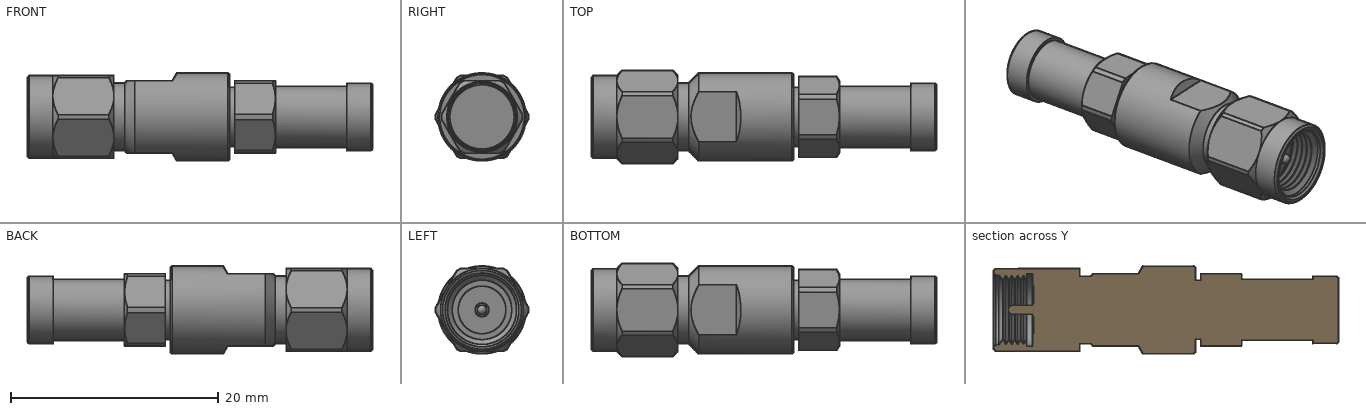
import cadquery as cq
import math

LENGTH = 33.33

COLLAR_RADIUS = 4.0
COLLAR_CHAMFER = 0.2
NUT_HEX_START = 2.45
NUT_HEX_END = 8.35
NUT_ACROSS_FLATS = 8.0
NUT_CORNER_RADIUS = 4.5

MOUTH_RADIUS = 3.55
MOUTH_CHAMFER = 0.23
ENTRY_END = 0.53
LEAD_IN_LENGTH = 0.35
CREST_RADIUS = 2.85
CREST_WIDTH = 0.05
THREAD_PITCH = 0.55
THREAD_GROOVES = 4
FLANK_ANGLE = 30.0
CAVITY_RADIUS = 3.45
BORE_DEPTH = 3.75

INSULATOR_RADIUS = 2.3
INSULATOR_RECESS = 0.1
CONTACT_RADIUS = 0.65
PIN_RADIUS = 0.45
PIN_TIP = 1.4

FRONT_NECK_RADIUS = 6.55 / 2
BODY_START = 9.4
BODY_END = 19.53
BODY_RADIUS = 8.5 / 2
BODY_CHAMFER = 0.15
WRENCH_ACROSS_FLATS = 7.0
WRENCH_FLAT_END = 14.0
WRENCH_RUNOUT_ANGLE = 30.0

REAR_NECK_RADIUS = 5.75 / 2
CLAMP_HEX_START = 20.0
CLAMP_HEX_END = 24.0
CLAMP_ACROSS_FLATS = 7.0
CLAMP_CORNER_RADIUS = 3.9
CLAMP_BEVEL_LENGTH = 0.33
CLAMP_END_RADIUS = 3.4

FERRULE_RADIUS = 2.95
RIM_START = 30.83
RIM_RADIUS = 3.25
RIM_CHAMFER = 0.15


def revolve_profile(points):
    """Revolve (x, radius) points, closed along the X axis, into a solid."""
    outline = [(points[0][0], 0)] + points + [(points[-1][0], 0)]
    return cq.Workplane("XY").polyline(outline).close().revolve(360, (0, 0, 0), (1, 0, 0))


def cylinder(start, end, radius):
    return revolve_profile([(start, radius), (end, radius)])


def hex_nut(across_flats, profile):
    """Hexagon with flats facing +Z and -Z, its corners turned to a round profile."""
    start, end = profile[0][0], profile[-1][0]
    across_corners = across_flats / math.cos(math.radians(30))
    prism = cq.Workplane("YZ", origin=(start, 0, 0)).polygon(6, across_corners).extrude(end - start)
    return prism.intersect(revolve_profile(profile))


def coupling_nut():
    collar = revolve_profile([
        (0, COLLAR_RADIUS - COLLAR_CHAMFER),
        (COLLAR_CHAMFER, COLLAR_RADIUS),
        (NUT_HEX_START, COLLAR_RADIUS),
    ])
    bevel = NUT_CORNER_RADIUS - COLLAR_RADIUS
    hexagon = hex_nut(NUT_ACROSS_FLATS, [
        (NUT_HEX_START, COLLAR_RADIUS),
        (NUT_HEX_START + bevel, NUT_CORNER_RADIUS),
        (NUT_HEX_END - bevel, NUT_CORNER_RADIUS),
        (NUT_HEX_END, COLLAR_RADIUS),
    ])
    return collar.union(hexagon)


def threaded_bore():
    """Cutter for the bore: bevelled mouth, lead-in cone, V grooves and the cavity behind."""
    entry_radius = MOUTH_RADIUS - MOUTH_CHAMFER
    groove_half_width = (THREAD_PITCH - CREST_WIDTH) / 2
    root_radius = CREST_RADIUS + groove_half_width / math.tan(math.radians(FLANK_ANGLE))
    crest_start = ENTRY_END + LEAD_IN_LENGTH
    profile = [
        (0, MOUTH_RADIUS),
        (MOUTH_CHAMFER, entry_radius),
        (ENTRY_END, entry_radius),
        (crest_start, CREST_RADIUS),
    ]
    for _ in range(THREAD_GROOVES):
        groove_start = crest_start + CREST_WIDTH
        crest_start += THREAD_PITCH
        profile += [
            (groove_start, CREST_RADIUS),
            (groove_start + groove_half_width, root_radius),
            (crest_start, CREST_RADIUS),
        ]
    thread_end = crest_start + CREST_WIDTH
    profile += [
        (thread_end, CREST_RADIUS),
        (thread_end, CAVITY_RADIUS),
        (BORE_DEPTH, CAVITY_RADIUS),
    ]
    return revolve_profile(profile)


def centre_contact(base):
    """Shoulder flush with the bore floor, carrying a pin with a hemispherical tip."""
    dome_centre = PIN_TIP + PIN_RADIUS
    shoulder = cylinder(BORE_DEPTH, base, CONTACT_RADIUS)
    pin = cylinder(dome_centre, base, PIN_RADIUS)
    dome = cq.Workplane("XY").sphere(PIN_RADIUS).translate((dome_centre, 0, 0))
    return shoulder.union(pin).union(dome)


def body():
    """Front neck and body cylinder with wrench flats on the +Z and -Z sides."""
    blank = revolve_profile([
        (NUT_HEX_END, FRONT_NECK_RADIUS),
        (BODY_START, FRONT_NECK_RADIUS),
        (BODY_START + BODY_RADIUS - FRONT_NECK_RADIUS, BODY_RADIUS),
        (BODY_END - BODY_CHAMFER, BODY_RADIUS),
        (BODY_END, BODY_RADIUS - BODY_CHAMFER),
    ])
    flat_height = WRENCH_ACROSS_FLATS / 2
    runout = (BODY_RADIUS - flat_height) * math.tan(math.radians(WRENCH_RUNOUT_ANGLE))
    cutter = (
        cq.Workplane("XZ")
        .polyline([
            (BODY_START, flat_height),
            (WRENCH_FLAT_END, flat_height),
            (WRENCH_FLAT_END + runout, BODY_RADIUS),
            (BODY_START, BODY_RADIUS),
        ])
        .close()
        .extrude(BODY_RADIUS, both=True)
    )
    return blank.cut(cutter).cut(cutter.mirror("XY"))


def clamp_nut():
    return hex_nut(CLAMP_ACROSS_FLATS, [
        (CLAMP_HEX_START, CLAMP_CORNER_RADIUS),
        (CLAMP_HEX_END - CLAMP_BEVEL_LENGTH, CLAMP_CORNER_RADIUS),
        (CLAMP_HEX_END, CLAMP_END_RADIUS),
    ])


def ferrule():
    return revolve_profile([
        (CLAMP_HEX_END, FERRULE_RADIUS),
        (RIM_START, FERRULE_RADIUS),
        (RIM_START, RIM_RADIUS),
        (LENGTH - RIM_CHAMFER, RIM_RADIUS),
        (LENGTH, RIM_RADIUS - RIM_CHAMFER),
    ])


insulator_face = BORE_DEPTH + INSULATOR_RECESS

result = (
    coupling_nut()
    .union(body())
    .union(cylinder(BODY_END, CLAMP_HEX_START, REAR_NECK_RADIUS))
    .union(clamp_nut())
    .union(ferrule())
    .cut(threaded_bore())
    .cut(cylinder(BORE_DEPTH, insulator_face, INSULATOR_RADIUS))
    .union(centre_contact(insulator_face))
)